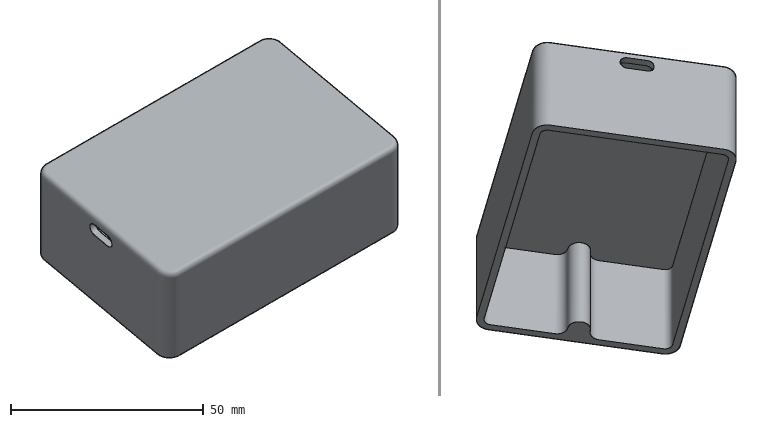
import cadquery as cq
import math

width = 54.0
length = 80.0
height = 30.0
corner_radius = 4.0
top_edge_radius = 1.4
wall = 2.0

slot_height = 3.7
slot_width = 9.0
slot_center_z = 25.8

rib_diameter = 6.0
rib_flare_diameter = 5.6


def make_shell():
    """Rounded box with a closed top and an open underside."""
    outside = (
        cq.Workplane("XY")
        .rect(width, length)
        .extrude(height)
        .edges("|Z")
        .fillet(corner_radius)
        .faces(">Z")
        .edges()
        .fillet(top_edge_radius)
    )
    cavity = (
        cq.Workplane("XY")
        .rect(width - 2 * wall, length - 2 * wall)
        .extrude(height - wall)
        .edges("|Z")
        .fillet(corner_radius - wall)
    )
    return outside.cut(cavity)


def make_slot():
    """Horizontal rounded slot that passes through the front wall only."""
    return (
        cq.Workplane("XZ", origin=(0, -length / 2, slot_center_z))
        .slot2D(slot_width, slot_height)
        .extrude(-wall)
    )


def make_rib():
    """Full-height rib with a half-round nose and concave flares tangent to the back wall."""
    nose_radius = rib_diameter / 2
    flare_radius = rib_flare_diameter / 2
    diagonal = math.sqrt(0.5)
    wall_y = length / 2 - wall
    nose_center_y = wall_y - flare_radius
    flare_center_x = nose_radius + flare_radius
    flare_mid_x = flare_center_x - flare_radius * diagonal
    flare_mid_y = nose_center_y + flare_radius * diagonal
    root_y = wall_y + wall / 2
    return (
        cq.Workplane("XY")
        .moveTo(-flare_center_x, wall_y)
        .threePointArc((-flare_mid_x, flare_mid_y), (-nose_radius, nose_center_y))
        .threePointArc((0, nose_center_y - nose_radius), (nose_radius, nose_center_y))
        .threePointArc((flare_mid_x, flare_mid_y), (flare_center_x, wall_y))
        .lineTo(flare_center_x, root_y)
        .lineTo(-flare_center_x, root_y)
        .close()
        .extrude(height - wall)
    )


result = make_shell().union(make_rib()).cut(make_slot())